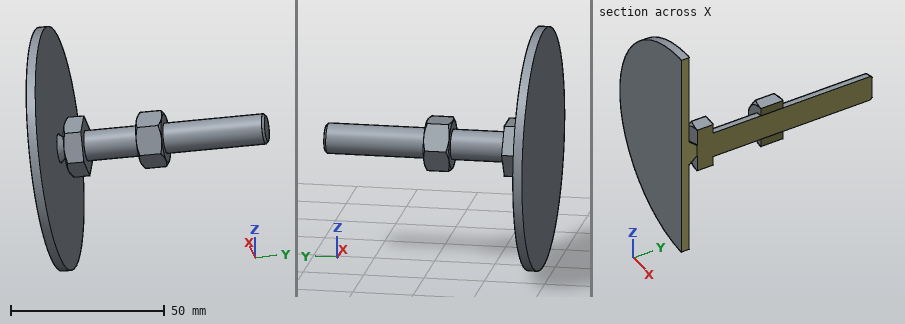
import cadquery as cq
import math

OVERALL_LENGTH = 72.0

PLATE_DIAMETER = 80.0
PLATE_THICKNESS = 3.0
NECK_BASE_DIAMETER = 9.6
NECK_TOP_DIAMETER = 4.5
NECK_HEIGHT = 2.9

SHANK_DIAMETER = 10.0
SHANK_CHAMFER = 0.8
HEAD_WIDTH_ACROSS_FLATS = 17.0
HEAD_HEIGHT = 6.2
HEAD_START = PLATE_THICKNESS + NECK_HEIGHT

NUT_WIDTH_ACROSS_FLATS = 16.0
NUT_HEIGHT = 8.5
NUT_START = 29.9

CORNER_CHAMFER_ANGLE = 30.0
CHAMFER_CIRCLE_RATIO = 0.99


def cylinder(diameter, start, length):
    """Cylinder along +Y, beginning at Y = start."""
    return cq.Workplane("XZ", origin=(0, start, 0)).circle(diameter / 2).extrude(-length)


def hexagon(width_across_flats, start, height, chamfer_far_end):
    """Hexagonal block along +Y with corners on the X axis and the near-end corners trimmed."""
    corner_radius = width_across_flats / math.sqrt(3)
    face_radius = width_across_flats * CHAMFER_CIRCLE_RATIO / 2
    chamfer_depth = (corner_radius - face_radius) * math.tan(math.radians(CORNER_CHAMFER_ANGLE))
    end = start + height

    block = (
        cq.Workplane("XZ", origin=(0, start, 0))
        .polygon(6, 2 * corner_radius)
        .extrude(-height)
    )
    profile = (
        cq.Workplane("XY")
        .moveTo(0, start)
        .lineTo(face_radius, start)
        .lineTo(corner_radius, start + chamfer_depth)
    )
    if chamfer_far_end:
        profile = profile.lineTo(corner_radius, end - chamfer_depth).lineTo(face_radius, end)
    else:
        profile = profile.lineTo(corner_radius, end)
    envelope = profile.lineTo(0, end).close().revolve(360, (0, 0, 0), (0, 1, 0))
    return block.intersect(envelope)


def make_foot():
    """Round plate and its conical neck, revolved as one profile."""
    return (
        cq.Workplane("XY")
        .moveTo(0, 0)
        .lineTo(PLATE_DIAMETER / 2, 0)
        .lineTo(PLATE_DIAMETER / 2, PLATE_THICKNESS)
        .lineTo(NECK_BASE_DIAMETER / 2, PLATE_THICKNESS)
        .lineTo(NECK_TOP_DIAMETER / 2, HEAD_START)
        .lineTo(0, HEAD_START)
        .close()
        .revolve(360, (0, 0, 0), (0, 1, 0))
    )


def make_stud():
    """Hexagonal head and shank with a chamfered free end."""
    shank_start = HEAD_START + HEAD_HEIGHT
    shank = cylinder(SHANK_DIAMETER, shank_start, OVERALL_LENGTH - shank_start)
    shank = shank.faces(">Y").chamfer(SHANK_CHAMFER)
    head = hexagon(HEAD_WIDTH_ACROSS_FLATS, HEAD_START, HEAD_HEIGHT, chamfer_far_end=False)
    return head.union(shank)


def make_nut():
    """Hexagonal nut, trimmed at both ends, bored to fit the shank."""
    block = hexagon(NUT_WIDTH_ACROSS_FLATS, NUT_START, NUT_HEIGHT, chamfer_far_end=True)
    return block.cut(cylinder(SHANK_DIAMETER, NUT_START, NUT_HEIGHT))


foot = make_foot()
stud = make_stud()
nut = make_nut()

result = cq.Compound.makeCompound([foot.val(), stud.val(), nut.val()])